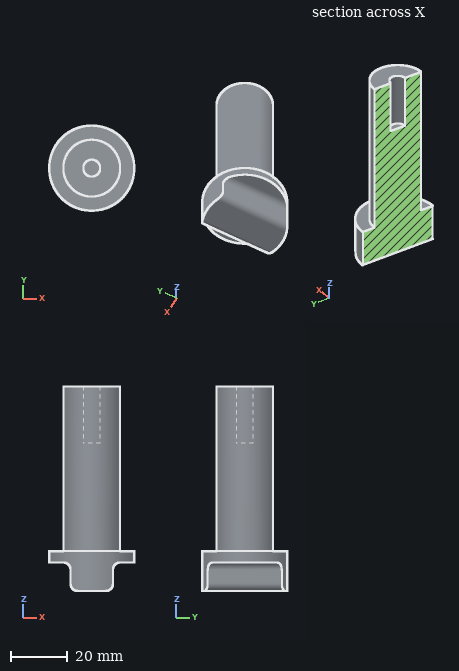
import cadquery as cq

total_height = 72.0
shaft_diameter = 20.0
flange_diameter = 30.0
flange_thickness = 4.0
tang_width = 15.0
tang_height = 10.0
tang_radius = 2.5
hole_diameter = 6.0
hole_depth = shaft_diameter

flange_top = tang_height + flange_thickness


def make_head():
    """Flange disc with a tang across its full diameter, along Y."""
    disc = cq.Workplane("XY").circle(flange_diameter / 2).extrude(flange_top)
    half_width = tang_width / 2
    half_flange = flange_diameter / 2
    profile = (
        cq.Workplane("XZ")
        .moveTo(-half_flange, flange_top)
        .lineTo(-half_flange, tang_height)
        .lineTo(-half_width - tang_radius, tang_height)
        .radiusArc((-half_width, tang_height - tang_radius), tang_radius)
        .lineTo(-half_width, tang_radius)
        .radiusArc((-half_width + tang_radius, 0), -tang_radius)
        .lineTo(half_width - tang_radius, 0)
        .radiusArc((half_width, tang_radius), -tang_radius)
        .lineTo(half_width, tang_height - tang_radius)
        .radiusArc((half_width + tang_radius, tang_height), tang_radius)
        .lineTo(half_flange, tang_height)
        .lineTo(half_flange, flange_top)
        .close()
        .extrude(half_flange, both=True)
    )
    return disc.intersect(profile)


def make_shaft():
    """Round shaft standing on the flange."""
    return (
        cq.Workplane("XY")
        .workplane(offset=flange_top)
        .circle(shaft_diameter / 2)
        .extrude(total_height - flange_top)
    )


def make_hole():
    """Blind axial hole in the free end of the shaft."""
    return (
        cq.Workplane("XY")
        .workplane(offset=total_height - hole_depth)
        .circle(hole_diameter / 2)
        .extrude(hole_depth)
    )


result = make_head().union(make_shaft()).cut(make_hole())